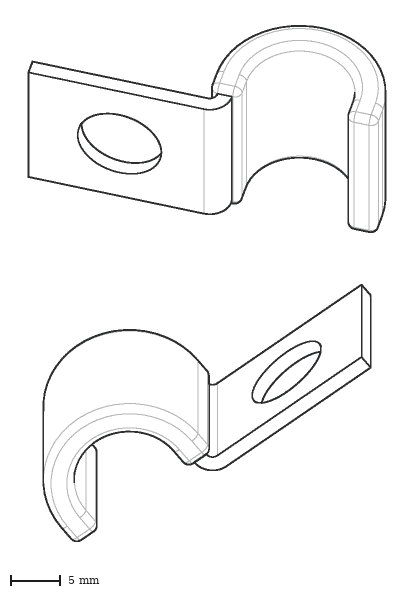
import cadquery as cq

strap_thickness = 1.524
strap_width = 15.875
bend_inner_radius = strap_thickness / 2
bend_outer_radius = bend_inner_radius + strap_thickness

cushion_wall = 0.79375
cushion_thickness = strap_thickness + 2 * cushion_wall
cushion_width = strap_width + 2 * cushion_wall
edge_radius = strap_thickness / 2
bore_radius = 5.55625
cushion_outer_radius = bore_radius + cushion_thickness
leg_length = 2.38125

overall_length = 35.64
overall_depth = 13.42
hole_diameter = 8.73125
hole_to_bore = 17.4625

tab_end_x = cushion_outer_radius - overall_length
tab_back_y = cushion_outer_radius - overall_depth
tab_front_y = tab_back_y + strap_thickness
bend_x = -cushion_outer_radius
bend_y = tab_back_y + bend_outer_radius


def make_cushion():
    """U-shaped cushion with every outside edge rounded."""
    outline = (
        cq.Workplane("XY")
        .moveTo(-cushion_outer_radius, -leg_length)
        .lineTo(-cushion_outer_radius, 0)
        .threePointArc((0, cushion_outer_radius), (cushion_outer_radius, 0))
        .lineTo(cushion_outer_radius, -leg_length)
        .lineTo(bore_radius, -leg_length)
        .lineTo(bore_radius, 0)
        .threePointArc((0, bore_radius), (-bore_radius, 0))
        .lineTo(-bore_radius, -leg_length)
        .close()
    )
    body = outline.extrude(cushion_width / 2, both=True)
    end_edges = body.faces("<Y").edges("|Z")
    return end_edges.fillet(edge_radius).faces("|Z").edges().fillet(edge_radius)


def make_strap():
    """Flat tab, quarter bend and the straight stretch that enters the cushion leg."""
    profile = (
        cq.Workplane("XY")
        .moveTo(tab_end_x, tab_back_y)
        .lineTo(bend_x, tab_back_y)
        .radiusArc((bend_x + bend_outer_radius, bend_y), -bend_outer_radius)
        .lineTo(bend_x + bend_outer_radius, 0)
        .lineTo(bend_x + bend_inner_radius, 0)
        .lineTo(bend_x + bend_inner_radius, bend_y)
        .radiusArc((bend_x, tab_front_y), bend_inner_radius)
        .lineTo(tab_end_x, tab_front_y)
        .close()
    )
    return profile.extrude(strap_width / 2, both=True)


def make_screw_hole():
    """Cutter for the screw hole through the tab, along Y."""
    return (
        cq.Workplane("XZ", origin=(-hole_to_bore, tab_front_y, 0))
        .circle(hole_diameter / 2)
        .extrude(strap_thickness)
    )


result = make_cushion().union(make_strap()).cut(make_screw_hole())